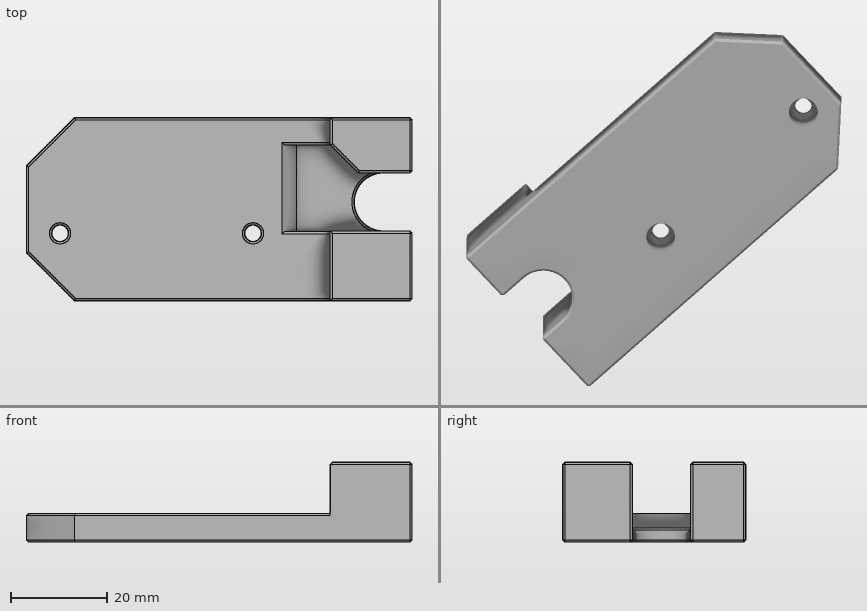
import cadquery as cq

LENGTH = 80.0
WIDTH = 38.0
PLATE_HEIGHT = 6.0
CORNER_CUT = 10.0
EDGE_CHAMFER = 0.5

TOTAL_HEIGHT = 16.6
TOWER_LENGTH = 17.0
SLOT_WIDTH = 12.0
SLOT_LENGTH = 12.0
SLOT_CENTER_Y = 1.5

POCKET_DEPTH = 3.0
POCKET_WIDTH = 18.0
POCKET_CENTER_Y = 4.35
RAMP_START_X = 13.0
RAMP_LENGTH = POCKET_DEPTH

HOLE_DIAMETER = 3.4
HOLE_COUNT = 2
HOLE_SPACING = 40.0
FIRST_HOLE_X = -33.0
HOLE_Y = -5.0
HEAD_DIAMETER = 6.0
HEAD_DEPTH = 4.0
BRIDGE_STEP = 0.2

SELECTION_MARGIN = 0.1

END_X = LENGTH / 2
SIDE_Y = WIDTH / 2
TOWER_X = END_X - TOWER_LENGTH
SLOT_RADIUS = SLOT_WIDTH / 2
SLOT_TOP_Y = SLOT_CENTER_Y + SLOT_RADIUS
SLOT_BOTTOM_Y = SLOT_CENTER_Y - SLOT_RADIUS
SLOT_ARC_X = END_X - SLOT_LENGTH + SLOT_RADIUS
FLOOR_Z = PLATE_HEIGHT - POCKET_DEPTH
POCKET_HALF_WIDTH = POCKET_WIDTH / 2
TOWER_CORNER_CUT = POCKET_CENTER_Y + POCKET_HALF_WIDTH - SLOT_TOP_Y


def make_plate():
    """Plate with two cut corners at the -X end."""
    return (
        cq.Workplane("XY")
        .box(LENGTH, WIDTH, PLATE_HEIGHT, centered=(True, True, False))
        .edges("|Z and <X")
        .chamfer(CORNER_CUT)
    )


def make_tower(outline):
    """Full-height block over a closed outline."""
    return cq.Workplane("XY").polyline(outline).close().extrude(TOTAL_HEIGHT)


def make_towers():
    """Two blocks beside the slot; the +Y one has a cut inner corner."""
    lower_outline = [
        (TOWER_X, -SIDE_Y),
        (END_X, -SIDE_Y),
        (END_X, SLOT_BOTTOM_Y),
        (TOWER_X, SLOT_BOTTOM_Y),
    ]
    upper_outline = [
        (TOWER_X, SIDE_Y),
        (END_X, SIDE_Y),
        (END_X, SLOT_TOP_Y),
        (TOWER_X + TOWER_CORNER_CUT, SLOT_TOP_Y),
        (TOWER_X, SLOT_TOP_Y + TOWER_CORNER_CUT),
    ]
    return make_tower(lower_outline).union(make_tower(upper_outline))


def make_slot():
    """Round-ended slot through the plate, open at the +X end."""
    return (
        cq.Workplane("XY")
        .moveTo(END_X, SLOT_BOTTOM_Y)
        .lineTo(SLOT_ARC_X, SLOT_BOTTOM_Y)
        .threePointArc((SLOT_ARC_X - SLOT_RADIUS, SLOT_CENTER_Y), (SLOT_ARC_X, SLOT_TOP_Y))
        .lineTo(END_X, SLOT_TOP_Y)
        .close()
        .extrude(PLATE_HEIGHT)
    )


def make_slot_rim():
    """Cone that chamfers the slot's round end at the pocket floor, kept clear of the towers."""
    cone = (
        cq.Workplane("XY", origin=(SLOT_ARC_X, SLOT_CENTER_Y, FLOOR_Z - EDGE_CHAMFER))
        .circle(SLOT_RADIUS)
        .workplane(offset=EDGE_CHAMFER)
        .circle(SLOT_RADIUS + EDGE_CHAMFER)
        .loft()
    )
    between_towers = cq.Workplane("XY", origin=(0, SLOT_CENTER_Y, 0)).box(LENGTH, SLOT_WIDTH, TOTAL_HEIGHT)
    return cone.intersect(between_towers)


def make_pocket():
    """Pocket running to the +X end, with a ramp at its -X end and chamfered side rims."""
    rim_half_width = POCKET_HALF_WIDTH + EDGE_CHAMFER
    side_profile = [
        (RAMP_START_X, PLATE_HEIGHT),
        (RAMP_START_X + RAMP_LENGTH, FLOOR_Z),
        (END_X, FLOOR_Z),
        (END_X, PLATE_HEIGHT),
    ]
    cross_section = [
        (-POCKET_HALF_WIDTH, FLOOR_Z),
        (POCKET_HALF_WIDTH, FLOOR_Z),
        (POCKET_HALF_WIDTH, PLATE_HEIGHT - EDGE_CHAMFER),
        (rim_half_width, PLATE_HEIGHT),
        (-rim_half_width, PLATE_HEIGHT),
        (-POCKET_HALF_WIDTH, PLATE_HEIGHT - EDGE_CHAMFER),
    ]
    center = (0, POCKET_CENTER_Y, 0)
    ramped = (
        cq.Workplane("XZ", origin=center)
        .polyline(side_profile)
        .close()
        .extrude(rim_half_width, both=True)
    )
    channel = cq.Workplane("YZ", origin=center).polyline(cross_section).close().extrude(END_X)
    return ramped.intersect(channel)


def make_screw_hole(x):
    """Through hole with a chamfered top rim, over a head recess bridged by a slot and a square."""
    shaft_radius = HOLE_DIAMETER / 2
    head_radius = HEAD_DIAMETER / 2
    profile = [
        (0, 0),
        (head_radius, 0),
        (head_radius, HEAD_DEPTH),
        (shaft_radius, HEAD_DEPTH),
        (shaft_radius, PLATE_HEIGHT - EDGE_CHAMFER),
        (shaft_radius + EDGE_CHAMFER, PLATE_HEIGHT),
        (0, PLATE_HEIGHT),
    ]
    bore = cq.Workplane("XZ").polyline(profile).close().revolve(360, (0, 0, 0), (0, 1, 0))

    slot_height = HEAD_DEPTH + BRIDGE_STEP
    slot_band = cq.Workplane("XY").rect(HOLE_DIAMETER, HEAD_DIAMETER).extrude(slot_height)
    bridge_slot = cq.Workplane("XY").circle(head_radius).extrude(slot_height).intersect(slot_band)

    bridge_square = cq.Workplane("XY").rect(HOLE_DIAMETER, HOLE_DIAMETER).extrude(slot_height + BRIDGE_STEP)

    return bore.union(bridge_slot).union(bridge_square).translate((x, HOLE_Y, 0))


def chamfer_outer_edges(body):
    """Chamfer the underside, the tower tops, the +X end and the plate's top rim."""
    body = body.faces(">Z or <Z or >X").edges().chamfer(EDGE_CHAMFER)
    plate_rim = cq.selectors.BoxSelector(
        (-END_X - SELECTION_MARGIN, -SIDE_Y - SELECTION_MARGIN, PLATE_HEIGHT - SELECTION_MARGIN),
        (TOWER_X - SELECTION_MARGIN, SIDE_Y + SELECTION_MARGIN, PLATE_HEIGHT + SELECTION_MARGIN),
    )
    return body.edges(plate_rim).chamfer(EDGE_CHAMFER)


towers = make_towers()
body = chamfer_outer_edges(make_plate().cut(make_slot()).union(towers))
body = body.cut(make_pocket().cut(towers)).cut(make_slot_rim())
for index in range(HOLE_COUNT):
    body = body.cut(make_screw_hole(FIRST_HOLE_X + index * HOLE_SPACING))

result = body